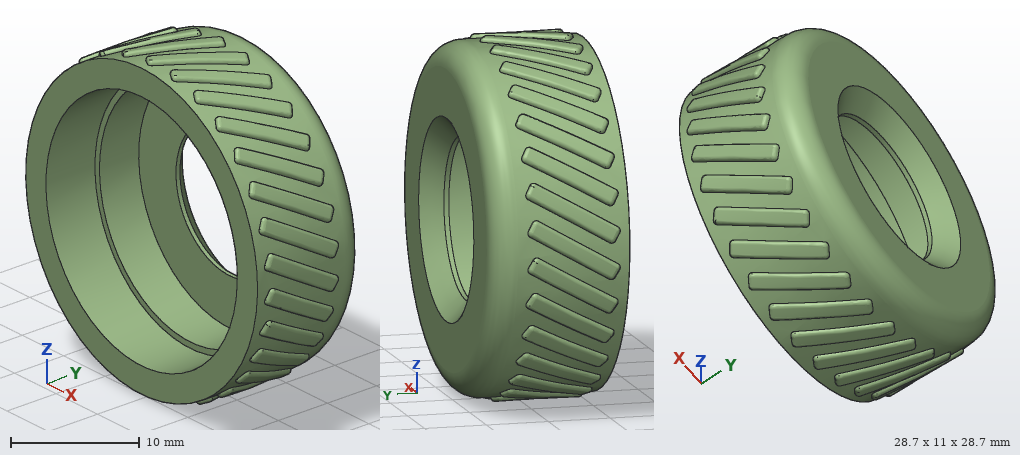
import cadquery as cq
import math

OUTER_RADIUS = 14.0
WIDTH = 11.0
BACK_ROUNDING = 2.0
MOUTH_RADIUS = 11.55
MOUTH_DEPTH = 5.0
SEAT_RADIUS = 11.0
BACK_WALL = 2.0
BORE_RADIUS = 6.5
BORE_CHAMFER = 1.6

RIB_COUNT = 30
RIB_LENGTH = 8.1
RIB_WIDTH = 1.4
RIB_HEIGHT = 0.35
RIB_SLANT = 30.0
RIB_ROUNDING = RIB_HEIGHT
RIB_SINK = 0.5
RIB_PITCH = 360.0 / RIB_COUNT
FIRST_RIB_ANGLE = RIB_PITCH / 2
RIB_CENTRE_Y = (WIDTH - BACK_ROUNDING) / 2


def cylinder(radius, start_y, end_y):
    """Solid cylinder on the Y axis from start_y to end_y."""
    disc = cq.Workplane("XZ", origin=(0, start_y, 0)).circle(radius)
    return disc.extrude(start_y - end_y)


def make_body():
    """Cup revolved about Y: rounded back edge, stepped recess, bore flared at the back."""
    floor_y = WIDTH - BACK_WALL
    rounding_start_y = WIDTH - BACK_ROUNDING
    rounding_centre_radius = OUTER_RADIUS - BACK_ROUNDING
    rounding_mid_offset = BACK_ROUNDING * math.sqrt(0.5)
    rounding_middle = (rounding_start_y + rounding_mid_offset, rounding_centre_radius + rounding_mid_offset)
    section = (
        cq.Workplane("YZ")
        .moveTo(0, MOUTH_RADIUS)
        .lineTo(0, OUTER_RADIUS)
        .lineTo(rounding_start_y, OUTER_RADIUS)
        .threePointArc(rounding_middle, (WIDTH, rounding_centre_radius))
        .lineTo(WIDTH, BORE_RADIUS + BORE_CHAMFER)
        .lineTo(WIDTH - BORE_CHAMFER, BORE_RADIUS)
        .lineTo(floor_y, BORE_RADIUS)
        .lineTo(floor_y, SEAT_RADIUS)
        .lineTo(MOUTH_DEPTH, SEAT_RADIUS)
        .lineTo(MOUTH_DEPTH, MOUTH_RADIUS)
        .close()
    )
    return section.revolve(360, (0, 0, 0), (1, 0, 0))


def make_rib():
    """One slanted rib at the +Z side, its top following the ring's curvature."""
    crown_radius = OUTER_RADIUS + RIB_HEIGHT
    root_radius = OUTER_RADIUS - RIB_SINK
    bar = (
        cq.Workplane("XY")
        .rect(RIB_WIDTH, RIB_LENGTH)
        .extrude(2 * crown_radius)
        .edges("|Z")
        .fillet(RIB_ROUNDING)
        .rotate((0, 0, 0), (0, 0, 1), -RIB_SLANT)
        .translate((0, RIB_CENTRE_Y, 0))
    )
    shell = cylinder(crown_radius, 0, WIDTH).cut(cylinder(root_radius, 0, WIDTH))
    rib = bar.intersect(shell)
    return rib.faces(">Z").edges().fillet(RIB_ROUNDING)


def add_ribs(body):
    """Join evenly spaced ribs to the outside of the body."""
    rib = make_rib().val()
    ribs = []
    for index in range(RIB_COUNT):
        angle = FIRST_RIB_ANGLE + index * RIB_PITCH
        ribs.append(rib.rotate(cq.Vector(0, 0, 0), cq.Vector(0, 1, 0), angle))
    return cq.Workplane(body.val().fuse(*ribs))


result = add_ribs(make_body())